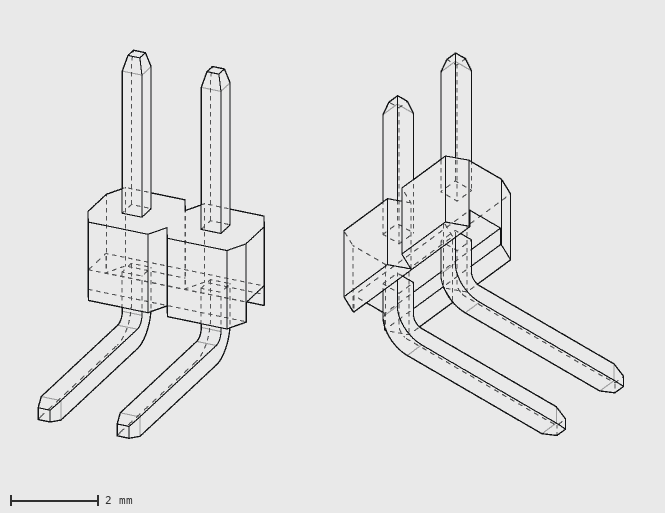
import cadquery as cq

pin_count = 2
pitch = 2.0
housing_depth = 2.0
housing_height = 2.0
corner_x = 0.25
corner_y = 0.5
groove_width = 0.94
groove_height = 0.5

pin_size = 0.5
pin_rise = 4.0
pin_drop = 1.25
pin_reach = 5.0
bend_inner_radius = 0.25
tip_length = 0.38
tip_size = 0.305

housing_top = housing_height
pin_top = housing_top + pin_rise
pin_bottom = -pin_drop
half_pin = pin_size / 2
bend_axis_radius = bend_inner_radius + half_pin
leg_z = pin_bottom + half_pin
bend_start_z = leg_z + bend_axis_radius
pin_positions = [(i - (pin_count - 1) / 2) * pitch for i in range(pin_count)]


def housing_cell(x):
    """Octagonal block around one pin, touching its neighbours on flat sides."""
    half_x = pitch / 2
    half_y = housing_depth / 2
    outline = [
        (-half_x, -half_y + corner_y),
        (-half_x + corner_x, -half_y),
        (half_x - corner_x, -half_y),
        (half_x, -half_y + corner_y),
        (half_x, half_y - corner_y),
        (half_x - corner_x, half_y),
        (-half_x + corner_x, half_y),
        (-half_x, half_y - corner_y),
    ]
    return cq.Workplane("XY").center(x, 0).polyline(outline).close().extrude(housing_height)


def tapered_tip(base_plane):
    """Truncated pyramid growing from the end of a pin."""
    return (
        cq.Workplane(base_plane)
        .rect(pin_size, pin_size)
        .workplane(offset=tip_length)
        .rect(tip_size, tip_size)
        .loft(ruled=True)
    )


def bent_pin(x):
    """Vertical pin, quarter bend and horizontal leg, tapered at both ends."""
    tip_z = pin_top - tip_length
    tip_y = -pin_reach + tip_length
    path = (
        cq.Workplane("YZ", origin=(x, 0, 0))
        .moveTo(0, tip_z)
        .lineTo(0, bend_start_z)
        .radiusArc((-bend_axis_radius, leg_z), bend_axis_radius)
        .lineTo(tip_y, leg_z)
    )
    wire = cq.Workplane("XY", origin=(x, 0, tip_z)).rect(pin_size, pin_size).sweep(path)
    top_tip = tapered_tip(cq.Plane(origin=(x, 0, tip_z), xDir=(1, 0, 0), normal=(0, 0, 1)))
    leg_tip = tapered_tip(cq.Plane(origin=(x, tip_y, leg_z), xDir=(1, 0, 0), normal=(0, -1, 0)))
    return wire.union(top_tip).union(leg_tip)


housing = housing_cell(pin_positions[0])
for position in pin_positions[1:]:
    housing = housing.union(housing_cell(position))

groove = cq.Workplane("XY").box(
    pin_count * pitch, groove_width, groove_height, centered=(True, True, False)
)
result = housing.cut(groove)

for position in pin_positions:
    result = result.union(bent_pin(position))